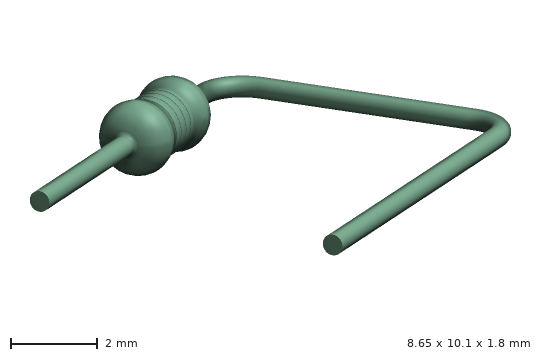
import cadquery as cq
import math


wire_diameter = 0.5
wire_radius = wire_diameter / 2
bend_radius = 1.0
lead_spacing = 7.5
lead_end_y = -6.2
overall_length = 10.05
crossbar_y = lead_end_y + overall_length - wire_radius

bulge_radius = 1.8 / 2
waist_radius = 1.53 / 2
bulge_y = 0.97
cap_radius = 0.64
shoulder_radius = 0.53
waist_fillet = 0.52
lead_fillet = 0.13

band_radius = 1.55 / 2
band_width = 0.13
band_count = 4
band_pitch = 2 * band_width


def rounded_stretch(arc_radius, fillet, straight_radius):
    """Points of a convex arc leaving the bulge and a hollow arc ending on a coaxial cylinder.

    Returns (radius, distance from bulge) for the arc middle, the tangent joint,
    the hollow middle and the end on the cylinder.
    """
    centre = bulge_radius - arc_radius
    fillet_centre = straight_radius + fillet
    reach = math.sqrt((arc_radius + fillet) ** 2 - (fillet_centre - centre) ** 2)
    angle = math.atan2(reach, fillet_centre - centre)

    def on_arc(a):
        return centre + arc_radius * math.cos(a), arc_radius * math.sin(a)

    def on_fillet(a):
        return fillet_centre - fillet * math.cos(a), reach - fillet * math.sin(a)

    return on_arc(angle / 2), on_arc(angle), on_fillet(angle / 2), on_fillet(0)


def make_body():
    """Revolve half of the body profile about Y and mirror it."""
    inner = [(r, bulge_y - d) for r, d in rounded_stretch(shoulder_radius, waist_fillet, waist_radius)]
    outer = [(r, bulge_y + d) for r, d in rounded_stretch(cap_radius, lead_fillet, wire_radius)]
    half = (
        cq.Workplane("XY")
        .lineTo(waist_radius, 0)
        .lineTo(*inner[3])
        .threePointArc(inner[2], inner[1])
        .threePointArc(inner[0], (bulge_radius, bulge_y))
        .threePointArc(outer[0], outer[1])
        .threePointArc(outer[2], outer[3])
        .lineTo(0, outer[3][1])
        .close()
        .revolve(360, (0, 0, 0), (0, 1, 0))
    )
    return half.union(half.mirror("XZ"))


def make_band(centre_y):
    """Slightly raised ring around the waist."""
    return (
        cq.Workplane("XZ", origin=(0, centre_y + band_width / 2, 0))
        .circle(band_radius)
        .extrude(band_width)
    )


def make_wire():
    """Wire through the body, across, and back down to the other lead end."""
    bend_start_y = crossbar_y - bend_radius
    bend_middle = bend_radius * (1 - math.sqrt(0.5))
    path = (
        cq.Workplane("XY")
        .moveTo(0, lead_end_y)
        .lineTo(0, bend_start_y)
        .threePointArc((bend_middle, crossbar_y - bend_middle), (bend_radius, crossbar_y))
        .lineTo(lead_spacing - bend_radius, crossbar_y)
        .threePointArc(
            (lead_spacing - bend_middle, crossbar_y - bend_middle),
            (lead_spacing, bend_start_y),
        )
        .lineTo(lead_spacing, lead_end_y)
    )
    return cq.Workplane("XZ", origin=(0, lead_end_y, 0)).circle(wire_radius).sweep(path)


result = make_body().union(make_wire())
for index in range(band_count):
    result = result.union(make_band((index - (band_count - 1) / 2) * band_pitch))